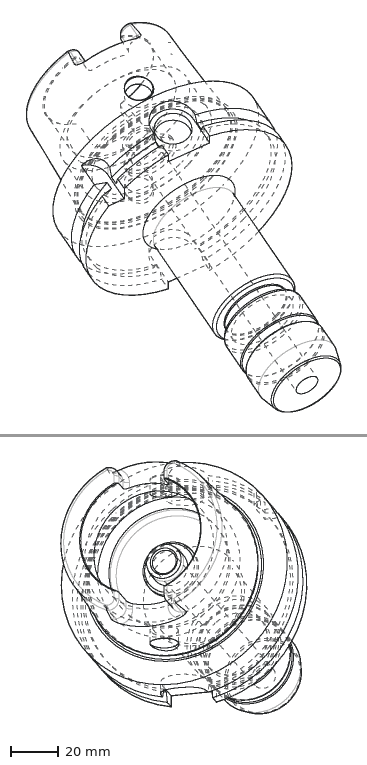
import cadquery as cq
import math


TAIL_X = -50.0
TAPER_BASE_X = -2.7
TAPER_BASE_R = 37.95
TAPER_SLOPE = 1 / 20
TAIL_R = TAPER_BASE_R - TAPER_SLOPE * (TAPER_BASE_X - TAIL_X)
TAIL_EDGE_ROUND = 1.7

RELIEF_R = 37.4
RELIEF_START_X = -1.7
FACE_GROOVE_R = 39.5
FACE_GROOVE_DEPTH = 0.4
FACE_GROOVE_BOTTOM_R = 38.5
RELIEF_END_X = -0.8

FLANGE_R = 50.0
FLANGE_LENGTH = 29.0
GRIP_FRONT_X = 16.3
GRIP_REAR_X = 23.2
GRIP_BOTTOM_FRONT_X = 18.0
GRIP_BOTTOM_REAR_X = 21.75
GRIP_R = 46.0

NECK_R = 20.0
ROOT_LENGTH = 4.8
ROOT_HEIGHT = 2.4
ROOT_R = (ROOT_LENGTH**2 + ROOT_HEIGHT**2) / (2 * ROOT_HEIGHT)
NECK_END_X = 86.6
EDGE_CHAMFER = 1.2
COLLAR_R = 15.1
COLLAR_END_X = 87.3
RECESS_R = 15.0
HEAD_START_X = 92.8
HEAD_R = 19.0
HEAD_EDGE_HEIGHT = 0.6
HEAD_GROOVE_R = 18.5
HEAD_GROOVE_START_X = 108.0
HEAD_GROOVE_END_X = 112.6
NOSE_START_X = 123.6
END_X = 131.8
NOSE_EDGE = 0.7
NOSE_ANGLE = math.radians(15)
NOSE_R = HEAD_R - (END_X - NOSE_EDGE - NOSE_START_X) * math.tan(NOSE_ANGLE)

BORE_R = 26.5
BORE_ENTRY_R = 26.9
CAVITY_R = 31.5
CAVITY_START_X = -30.0
CAVITY_END_X = -8.0
CAVITY_FLOOR_X = -4.0
CAVITY_CONE_ANGLE = math.radians(60)
CAVITY_CONE_LENGTH = (CAVITY_R - BORE_R) / math.tan(CAVITY_CONE_ANGLE)
FLOOR_ROUND = 2.0

NUT_R = 12.0
NUT_CHAMFER = 1.0
NUT_FACE_X = -7.0
JOIN_DEPTH = 1.0
TUBE_R = 8.0
TUBE_TIP_R = 7.65
TUBE_TIP_X = -15.4
TUBE_LEAD_LENGTH = 2.7
TUBE_BORE_ENTRY_R = 6.0
PASSAGE_R = 5.25

DRIVE_HALF_WIDTH = 10.0
DRIVE_SHOULDER_Z = 32.2
DRIVE_SHOULDER_ROUND = 4.5
DRIVE_FLOOR_ROUND = 2.2
TOP_DRIVE_FLOOR_X = -40.0
BOTTOM_DRIVE_FLOOR_X = -35.3

CROSS_HOLE_R = 6.0
CROSS_HOLE_X = -14.9
CROSS_HOLE_START_Z = 20.0
CROSS_SINK_Z = 36.7

KEYWAY_R = 10.0
KEYWAY_CENTRE_X = 14.7
KEYWAY_FLOOR_Z = 44.0
CHIP_R = 8.0
CHIP_X = 15.0
CHIP_DEPTH = 5.0
NOTCH_Y = -31.4
NOTCH_Z = 31.4


def turned(profile):
    """Revolve a closed profile drawn as (x, radius) about the X axis."""
    return profile.close().revolve(360, (0, 0, 0), (1, 0, 0))


def holder_body():
    root_sag_x = ROOT_LENGTH / 2
    root_mid = (
        FLANGE_LENGTH + root_sag_x,
        NECK_R + ROOT_R - math.sqrt(ROOT_R**2 - root_sag_x**2),
    )
    profile = (
        cq.Workplane("XY")
        .moveTo(TAIL_X, 0)
        .lineTo(TAIL_X, TAIL_R)
        .lineTo(TAPER_BASE_X, TAPER_BASE_R)
        .lineTo(RELIEF_START_X, RELIEF_R)
        .lineTo(RELIEF_END_X, RELIEF_R)
        .lineTo(FACE_GROOVE_DEPTH, FACE_GROOVE_BOTTOM_R)
        .lineTo(0, FACE_GROOVE_R)
        .lineTo(0, FLANGE_R)
        .lineTo(GRIP_FRONT_X, FLANGE_R)
        .lineTo(GRIP_BOTTOM_FRONT_X, GRIP_R)
        .lineTo(GRIP_BOTTOM_REAR_X, GRIP_R)
        .lineTo(GRIP_REAR_X, FLANGE_R)
        .lineTo(FLANGE_LENGTH, FLANGE_R)
        .lineTo(FLANGE_LENGTH, NECK_R + ROOT_HEIGHT)
        .threePointArc(root_mid, (FLANGE_LENGTH + ROOT_LENGTH, NECK_R))
        .lineTo(NECK_END_X - EDGE_CHAMFER, NECK_R)
        .lineTo(NECK_END_X, NECK_R - EDGE_CHAMFER)
        .lineTo(NECK_END_X, COLLAR_R)
        .lineTo(COLLAR_END_X, COLLAR_R)
        .lineTo(COLLAR_END_X, RECESS_R)
        .lineTo(HEAD_START_X, RECESS_R)
        .lineTo(HEAD_START_X, HEAD_R - HEAD_EDGE_HEIGHT)
        .lineTo(HEAD_START_X + EDGE_CHAMFER, HEAD_R)
        .lineTo(HEAD_GROOVE_START_X, HEAD_R)
        .lineTo(HEAD_GROOVE_START_X + HEAD_R - HEAD_GROOVE_R, HEAD_GROOVE_R)
        .lineTo(HEAD_GROOVE_END_X - HEAD_R + HEAD_GROOVE_R, HEAD_GROOVE_R)
        .lineTo(HEAD_GROOVE_END_X, HEAD_R)
        .lineTo(NOSE_START_X, HEAD_R)
        .lineTo(END_X - NOSE_EDGE, NOSE_R)
        .lineTo(END_X, NOSE_R - NOSE_EDGE)
        .lineTo(END_X, 0)
    )
    return turned(profile)


def drive_slot(floor_x):
    """Tail slot on the +Z side: straight walls that round over onto flat shoulders."""
    shoulder_start_y = DRIVE_HALF_WIDTH + DRIVE_SHOULDER_ROUND
    wall_top_z = DRIVE_SHOULDER_Z - DRIVE_SHOULDER_ROUND
    arc_inset = DRIVE_SHOULDER_ROUND * math.sqrt(0.5)
    arc_mid_y = shoulder_start_y - arc_inset
    arc_mid_z = wall_top_z + arc_inset
    outline = (
        cq.Workplane("YZ", origin=(TAIL_X, 0, 0))
        .moveTo(-DRIVE_HALF_WIDTH, 0)
        .lineTo(-DRIVE_HALF_WIDTH, wall_top_z)
        .threePointArc((-arc_mid_y, arc_mid_z), (-shoulder_start_y, DRIVE_SHOULDER_Z))
        .lineTo(-TAIL_R, DRIVE_SHOULDER_Z)
        .lineTo(-TAIL_R, FLANGE_R)
        .lineTo(TAIL_R, FLANGE_R)
        .lineTo(TAIL_R, DRIVE_SHOULDER_Z)
        .lineTo(shoulder_start_y, DRIVE_SHOULDER_Z)
        .threePointArc((arc_mid_y, arc_mid_z), (DRIVE_HALF_WIDTH, wall_top_z))
        .lineTo(DRIVE_HALF_WIDTH, 0)
        .close()
    )
    slot = outline.extrude(floor_x - TAIL_X)
    margin = 1.0
    walls = cq.selectors.BoxSelector(
        (floor_x - margin, -TAIL_R + margin, margin),
        (floor_x + margin, TAIL_R - margin, DRIVE_SHOULDER_Z + margin),
    )
    return slot.edges(walls).fillet(DRIVE_FLOOR_ROUND)


def half_turn(shape):
    return shape.rotate((0, 0, 0), (1, 0, 0), 180)


def cavity():
    round_inset = FLOOR_ROUND * (1 - math.sqrt(0.5))
    floor_r = BORE_R - FLOOR_ROUND
    profile = (
        cq.Workplane("XY")
        .moveTo(TAIL_X, 0)
        .lineTo(TAIL_X, BORE_ENTRY_R)
        .lineTo(TAIL_X + BORE_ENTRY_R - BORE_R, BORE_R)
        .lineTo(CAVITY_START_X, BORE_R)
        .lineTo(CAVITY_START_X + CAVITY_CONE_LENGTH, CAVITY_R)
        .lineTo(CAVITY_END_X, CAVITY_R)
        .lineTo(CAVITY_END_X, BORE_R)
        .lineTo(CAVITY_FLOOR_X - FLOOR_ROUND, BORE_R)
        .threePointArc((CAVITY_FLOOR_X - round_inset, BORE_R - round_inset), (CAVITY_FLOOR_X, floor_r))
        .lineTo(CAVITY_FLOOR_X, 0)
    )
    return turned(profile)


def coolant_tube():
    profile = (
        cq.Workplane("XY")
        .moveTo(TUBE_TIP_X, 0)
        .lineTo(TUBE_TIP_X, TUBE_TIP_R)
        .lineTo(TUBE_TIP_X + TUBE_LEAD_LENGTH, TUBE_R)
        .lineTo(NUT_FACE_X, TUBE_R)
        .lineTo(NUT_FACE_X, NUT_R - NUT_CHAMFER)
        .lineTo(NUT_FACE_X + NUT_CHAMFER, NUT_R)
        .lineTo(CAVITY_FLOOR_X + JOIN_DEPTH, NUT_R)
        .lineTo(CAVITY_FLOOR_X + JOIN_DEPTH, 0)
    )
    return turned(profile)


def coolant_passage():
    """Bore through the whole holder, chamfered at the tube tip."""
    profile = (
        cq.Workplane("XY")
        .moveTo(TUBE_TIP_X, 0)
        .lineTo(TUBE_TIP_X, TUBE_BORE_ENTRY_R)
        .lineTo(TUBE_TIP_X + TUBE_BORE_ENTRY_R - PASSAGE_R, PASSAGE_R)
        .lineTo(END_X, PASSAGE_R)
        .lineTo(END_X, 0)
    )
    return turned(profile)


def cross_hole():
    """Countersunk hole through the +Z wall, reaching the cavity but not the coolant tube."""
    sink_height = TAPER_BASE_R - CROSS_SINK_Z
    profile = (
        cq.Workplane("XZ", origin=(CROSS_HOLE_X, 0, 0))
        .moveTo(0, CROSS_HOLE_START_Z)
        .lineTo(CROSS_HOLE_R, CROSS_HOLE_START_Z)
        .lineTo(CROSS_HOLE_R, CROSS_SINK_Z)
        .lineTo(CROSS_HOLE_R + sink_height, TAPER_BASE_R)
        .lineTo(0, TAPER_BASE_R)
        .close()
    )
    return profile.revolve(360, (0, 0, 0), (0, 1, 0))


def round_ended_cut(centre_y, floor_z):
    """Cutter path along X at a given floor height, round at its start and open at the flange rear."""
    length = FLANGE_LENGTH - KEYWAY_CENTRE_X
    depth = FLANGE_R - floor_z
    plane = cq.Workplane("XY", origin=(KEYWAY_CENTRE_X, centre_y, floor_z))
    start = plane.circle(KEYWAY_R).extrude(depth)
    run = plane.rect(length, 2 * KEYWAY_R).extrude(depth).translate((length / 2, 0, 0))
    return start.union(run)


def chip_pocket():
    bottom_z = KEYWAY_FLOOR_Z - CHIP_DEPTH
    return cq.Workplane("XY", origin=(CHIP_X, 0, bottom_z)).circle(CHIP_R).extrude(CHIP_DEPTH)


body = holder_body()
body = body.cut(drive_slot(TOP_DRIVE_FLOOR_X))
body = body.cut(half_turn(drive_slot(BOTTOM_DRIVE_FLOOR_X)))
body = body.faces("<X").edges().fillet(TAIL_EDGE_ROUND)
body = body.cut(cavity()).union(coolant_tube()).cut(coolant_passage())
body = body.cut(cross_hole()).cut(half_turn(cross_hole()))

keyway = round_ended_cut(0, KEYWAY_FLOOR_Z)
body = body.cut(keyway).cut(half_turn(keyway)).cut(chip_pocket())
body = body.cut(round_ended_cut(NOTCH_Y - KEYWAY_R, NOTCH_Z))

result = body